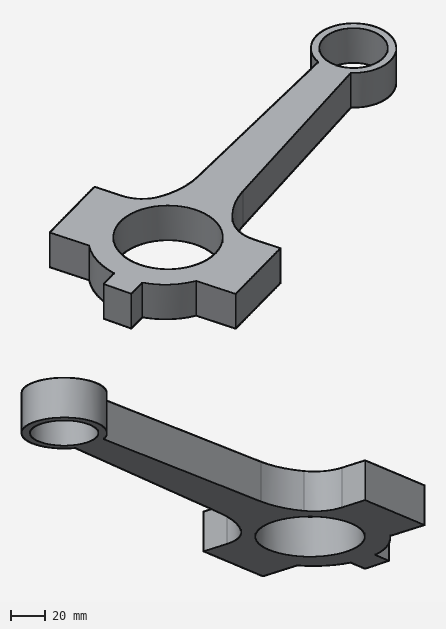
import cadquery as cq
import math

thickness = 25.0
centre_distance = 219.0

pin_bore_radius = 20.0
pin_end_radius = 25.0

crank_bore_radius = 32.0
cap_radius = 45.0
cap_centre_y = -3.0

shoulder_width = 125.0
shoulder_top = 23.0
shoulder_bottom = -30.0

shank_half_width_at_pin = 11.0
shank_half_width_at_flare = 15.1
flare_start = 61.5
flare_split = 33.5
flare_split_half_width = 24.3

tab_half_width = 9.5
tab_left_bottom = -59.4
tab_right_bottom = -60.0


def extrude(sketch):
    return sketch.extrude(thickness)


def disc(radius, y):
    return extrude(cq.Workplane("XY").center(0, y).circle(radius))


def flare_foot_half_width(shank_top):
    """Half width where the small flare arc lands tangent on the shoulder top."""
    taper = math.atan2(shank_half_width_at_flare - shank_half_width_at_pin, shank_top - flare_start)
    chord = math.atan2(flare_split_half_width - shank_half_width_at_flare, flare_start - flare_split)
    split_direction = 2 * chord - taper
    foot_chord = (split_direction + math.pi / 2) / 2
    return flare_split_half_width + (flare_split - shoulder_top) * math.tan(foot_chord)


def shank_and_shoulders():
    """Tapered shank flaring through two tangent arcs per side into the square shoulders."""
    half_shoulder = shoulder_width / 2
    shank_top = centre_distance - math.sqrt(pin_end_radius**2 - shank_half_width_at_pin**2)
    foot = flare_foot_half_width(shank_top)
    half = (
        cq.Workplane("XY")
        .moveTo(0, shank_top)
        .lineTo(shank_half_width_at_pin, shank_top)
        .lineTo(shank_half_width_at_flare, flare_start)
        .tangentArcPoint((flare_split_half_width, flare_split), relative=False)
        .tangentArcPoint((foot, shoulder_top), relative=False)
        .lineTo(half_shoulder, shoulder_top)
        .lineTo(half_shoulder, shoulder_bottom)
        .lineTo(0, shoulder_bottom)
        .close()
    )
    right_half = extrude(half)
    return right_half.union(right_half.mirror("YZ"))


def cap():
    """Round cap below the shoulders: the lower part of a disc struck just below the bore centre."""
    cap_bottom = cap_centre_y - cap_radius
    cap_depth = shoulder_bottom - cap_bottom
    lower_side = extrude(
        cq.Workplane("XY").center(0, cap_bottom).rect(2 * cap_radius, cap_depth, centered=(True, False))
    )
    return disc(cap_radius, cap_centre_y).intersect(lower_side)


def tab():
    """Small lug under the cap."""
    return extrude(
        cq.Workplane("XY").polyline(
            [
                (-tab_half_width, shoulder_bottom),
                (tab_half_width, shoulder_bottom),
                (tab_half_width, tab_right_bottom),
                (-tab_half_width, tab_left_bottom),
            ]
        ).close()
    )


body = shank_and_shoulders().union(disc(pin_end_radius, centre_distance)).union(cap()).union(tab())
result = body.cut(disc(pin_bore_radius, centre_distance)).cut(disc(crank_bore_radius, 0))